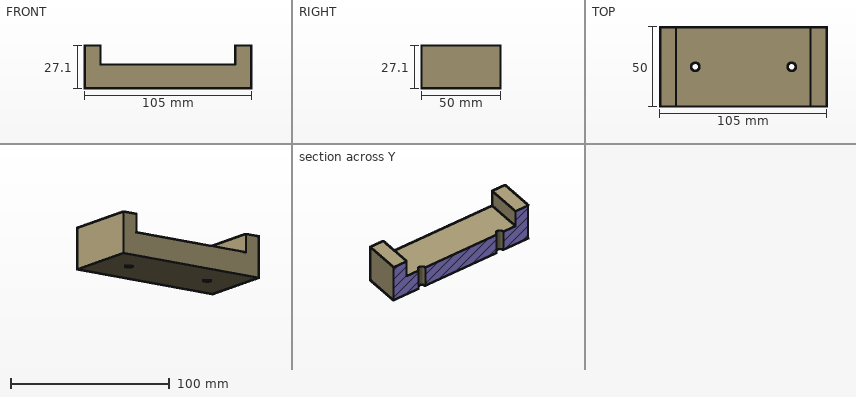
import cadquery as cq

length = 105.0
width = 50.0
height = 27.1

wall_thickness = 10.2
floor_thickness = 15.1
channel_length = length - 2 * wall_thickness
channel_depth = height - floor_thickness

hole_diameter = 5.0
hole_spacing = 60.7


def make_block():
    """Solid block resting on Z = 0, centred in X and Y."""
    return cq.Workplane("XY").box(length, width, height, centered=(True, True, False))


def make_channel():
    """Cutter that leaves an upright wall at each X end."""
    return (
        cq.Workplane("XY")
        .workplane(offset=floor_thickness)
        .box(channel_length, width, channel_depth, centered=(True, True, False))
    )


def make_holes():
    """Cutter for the two vertical holes on the X centreline."""
    return (
        cq.Workplane("XY")
        .pushPoints([(-hole_spacing / 2, 0), (hole_spacing / 2, 0)])
        .circle(hole_diameter / 2)
        .extrude(floor_thickness)
    )


result = make_block().cut(make_channel()).cut(make_holes())